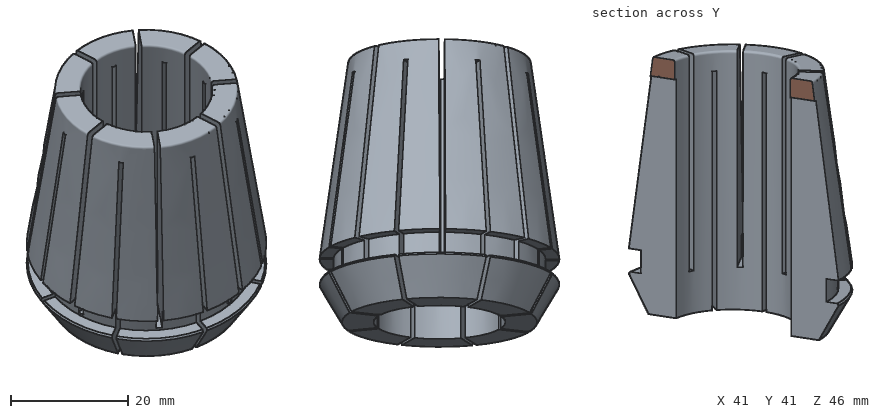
import cadquery as cq
import math

height = 46.0
max_diameter = 41.0
max_radius = max_diameter / 2
bore_diameter = 22.5
bore_radius = bore_diameter / 2

taper_angle = 8.0
taper_bottom_z = 11.15
top_outer_radius = max_radius - (height - taper_bottom_z) * math.tan(math.radians(taper_angle))
top_rounding = 0.45

groove_radius = 18.12
groove_bottom_z = 7.05
flange_rim_z = 6.65
flange_top_radius = 20.25
head_angle = 30.0
head_bottom_radius = max_radius - flange_rim_z * math.tan(math.radians(head_angle))

slits_per_end = 8
slit_pitch = 360.0 / slits_per_end
lower_slit_width = 0.8
lower_slit_top_z = 42.45
upper_slit_width = 1.0
upper_slit_bottom_z = 7.55
overrun = 0.45


def make_body():
    """Revolve the tapered sleeve with its groove and head, and round the top edges."""
    body = (
        cq.Workplane("XZ")
        .moveTo(bore_radius, 0)
        .lineTo(head_bottom_radius, 0)
        .lineTo(max_radius, flange_rim_z)
        .lineTo(flange_top_radius, groove_bottom_z)
        .lineTo(groove_radius, groove_bottom_z)
        .lineTo(groove_radius, taper_bottom_z)
        .lineTo(max_radius, taper_bottom_z)
        .lineTo(top_outer_radius, height)
        .lineTo(bore_radius, height)
        .close()
        .revolve(360, (0, 0, 0), (0, 1, 0))
    )
    return body.faces(">Z").edges().fillet(top_rounding)


def make_slits(width, bottom_z, top_z, first_angle):
    """Blades that cut the wall radially, evenly spaced around the axis."""
    length = max_radius + overrun
    blade = cq.Workplane("XY").box(length, width, top_z - bottom_z, centered=(False, True, False))
    blade = blade.translate((0, 0, bottom_z))
    slits = cq.Workplane("XY")
    for index in range(slits_per_end):
        angle = first_angle + index * slit_pitch
        slits = slits.add(blade.rotate((0, 0, 0), (0, 0, 1), angle))
    return slits.combine()


lower_slits = make_slits(lower_slit_width, -overrun, lower_slit_top_z, 0)
upper_slits = make_slits(upper_slit_width, upper_slit_bottom_z, height + overrun, slit_pitch / 2)

result = make_body().cut(lower_slits).cut(upper_slits)